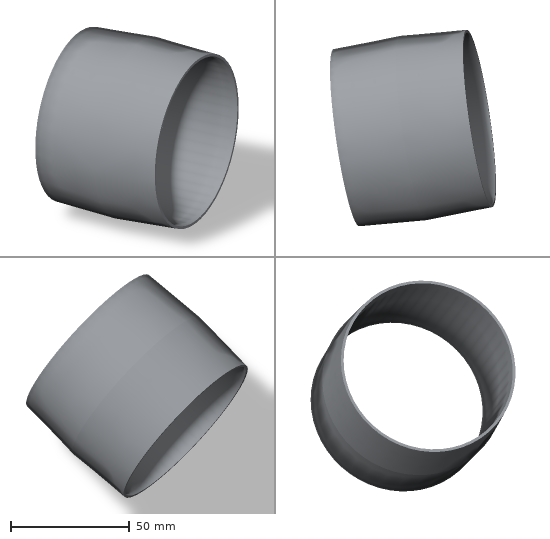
import cadquery as cq

length = 57.2
crown_diameter = 78.8
end_diameter = 75.8
bore_diameter = 73.45

half_length = length / 2
crown_radius = crown_diameter / 2
end_radius = end_diameter / 2
bore_radius = bore_diameter / 2

section = (
    cq.Workplane("XY")
    .moveTo(-half_length, bore_radius)
    .lineTo(-half_length, end_radius)
    .lineTo(0, crown_radius)
    .lineTo(half_length, end_radius)
    .lineTo(half_length, bore_radius)
    .close()
)

result = section.revolve(360, (0, 0, 0), (1, 0, 0))